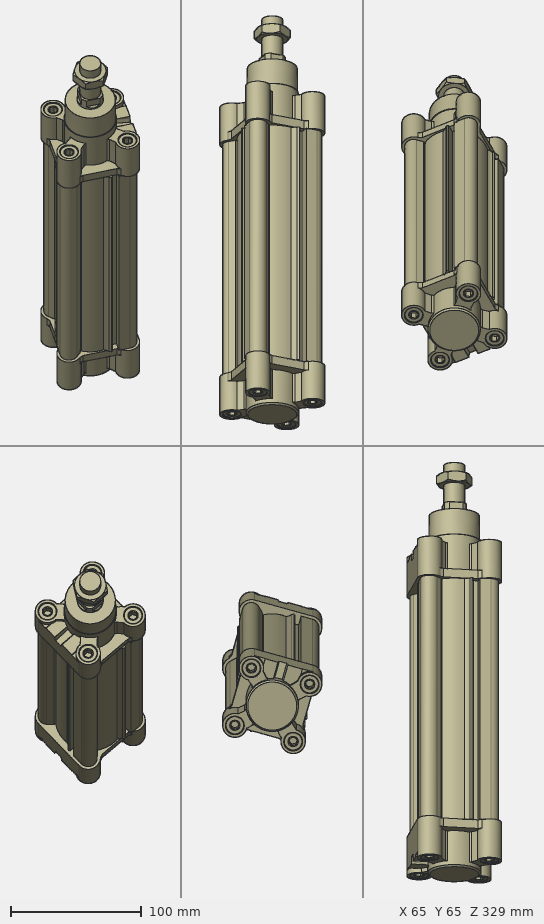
import cadquery as cq
import math


TOTAL_HEIGHT = 329.0
CAP_HEIGHT = 31.0
REAR_CAP_Z = 4.5
BARREL_Z = REAR_CAP_Z + CAP_HEIGHT
FRONT_CAP_Z = 260.5
BARREL_TOP_Z = FRONT_CAP_Z - CAP_HEIGHT
COLLAR_TOP_Z = 267.5
NOSE_TOP_Z = 288.2

OVERALL_WIDTH = 65.0
STUD_SPACING = 46.5
STUD_OFFSET = STUD_SPACING / 2
STUD_RADIUS = OVERALL_WIDTH / 2 - STUD_OFFSET
STUD_RECESS_DIAMETER = 14.5
STUD_RECESS_DEPTH = 0.5
STUD_RECESS_FLOOR_DIAMETER = 13.5
SOCKET_DIAMETER = 8.0
SOCKET_CORNERS = 7.0
SOCKET_FLATS = SOCKET_CORNERS * math.cos(math.pi / 6)
SOCKET_COUNTERSINK = 0.3
SOCKET_DEPTH = 6.5
FLANGE_THICKNESS = 7.0
FLANGE_HALF_WIDTH = 28.3
FLANGE_CORNER_START = 13.5
FLANGE_CORNER_END = 16.5
WEB_BEND = (10.2, 19.0)
WEB_ROOT = (8.2, 18.0)
HUB_DIAMETER = 40.0
HUB_CHAMFER = 1.3

PORT_BLOCK_WIDTH = 29.5
PORT_SHOULDER_DROP = 1.0
PORT_BLOCK_DROP = 3.3
PORT_BLOCK_HEIGHT = CAP_HEIGHT - PORT_BLOCK_DROP
PORT_GROOVE_TOP_WIDTH = 8.0
PORT_GROOVE_FLOOR_WIDTH = 6.0
PORT_GROOVE_X = 0.5
PORT_GROOVE_DEPTH = 3.3
PORT_GROOVE_FALL_ANGLE = 10.0

NOSE_BASE_DIAMETER = 39.0
NOSE_TOP_DIAMETER = 38.5

BARREL_HALF_WIDTH = 30.3
CORNER_RADIUS = 7.0
CORNER_CENTRE = BARREL_HALF_WIDTH - CORNER_RADIUS
GROOVE_START_X = 14.5
GROOVE_END_X = 13.5
GROOVE_FLOOR = 22.0
TUBE_RADIUS = 27.0
TUBE_END_X = 3.3
RIDGE_FOOT_X = 7.0
RIDGE_FOOT_Y = 29.3
RIDGE_TOP_X = 8.5
RIDGE_SAGITTA = 0.3
RIDGE_DROP = 0.5
SLOT_START_X = 9.5
SLOT_END_X = 14.5
SLOT_FLOOR = 23.0

ROD_DIAMETER = 20.0
ROD_BOTTOM_Z = BARREL_TOP_Z
ROD_FLATS = 17.0
FLATS_BOTTOM_Z = 291.0
THREAD_DIAMETER = 16.0
THREAD_LENGTH = 32.0
THREAD_BOTTOM_Z = TOTAL_HEIGHT - THREAD_LENGTH
NUT_BOTTOM_Z = 313.0
NUT_HEIGHT = 8.0
NUT_FLATS = 24.0
NUT_CORNERS = NUT_FLATS / math.cos(math.pi / 6)
NUT_FACE_DIAMETER = NUT_FLATS
NUT_CHAMFER_SLOPE = math.tan(math.radians(30))


def cylinder(diameter, bottom, top):
    """Upright cylinder on the Z axis."""
    return cq.Workplane("XY").workplane(offset=bottom).circle(diameter / 2).extrude(top - bottom)


def hexagon(corners, bottom, top):
    """Upright hexagonal prism on the Z axis with two flats facing X."""
    prism = cq.Workplane("XY").workplane(offset=bottom).polygon(6, corners).extrude(top - bottom)
    return prism.rotate((0, 0, 0), (0, 0, 1), 30)


def turned(profile):
    """Solid of revolution about Z from (radius, height) points."""
    return cq.Workplane("XZ").polyline(profile).close().revolve(360, (0, 0), (0, 1))


def quarter_turns(solid):
    """Union of a solid with its three copies turned about Z."""
    whole = solid
    for turn in (90, 180, 270):
        whole = whole.union(solid.rotate((0, 0, 0), (0, 0, 1), turn))
    return whole


def stud_with_web():
    """One corner stud, and the web that joins it to the hub."""
    stud = cq.Workplane("XY").center(STUD_OFFSET, STUD_OFFSET).circle(STUD_RADIUS).extrude(CAP_HEIGHT)
    side = STUD_OFFSET - STUD_RADIUS
    web = (
        cq.Workplane("XY")
        .polyline([
            (0, 0),
            WEB_ROOT,
            WEB_BEND,
            (side, STUD_OFFSET),
            (STUD_OFFSET, STUD_OFFSET),
            (STUD_OFFSET, side),
            WEB_BEND[::-1],
            WEB_ROOT[::-1],
        ])
        .close()
        .extrude(CAP_HEIGHT)
    )
    return stud.union(web)


def flange_side():
    """Flange segment on the +Y side, widening where it runs into the two studs."""
    drop = STUD_OFFSET - FLANGE_CORNER_END
    corner_y = STUD_OFFSET + math.sqrt(STUD_RADIUS**2 - drop**2)
    return (
        cq.Workplane("XY")
        .polyline([
            (0, 0),
            (STUD_OFFSET, STUD_OFFSET),
            (FLANGE_CORNER_END, corner_y),
            (FLANGE_CORNER_START, FLANGE_HALF_WIDTH),
            (-FLANGE_CORNER_START, FLANGE_HALF_WIDTH),
            (-FLANGE_CORNER_END, corner_y),
            (-STUD_OFFSET, STUD_OFFSET),
        ])
        .close()
        .extrude(FLANGE_THICKNESS)
    )


def port_block():
    """Block between the two +Y studs, with low shoulders and a groove whose floor falls outward."""
    outer_y = OVERALL_WIDTH / 2
    block = (
        cq.Workplane("XY")
        .polyline([
            (0, 0),
            (STUD_OFFSET, STUD_OFFSET),
            (STUD_OFFSET, outer_y),
            (-STUD_OFFSET, outer_y),
            (-STUD_OFFSET, STUD_OFFSET),
        ])
        .close()
        .extrude(PORT_BLOCK_HEIGHT)
    )
    shoulder_cutter = cq.Workplane("XY").box(STUD_SPACING, 2 * outer_y, 2 * PORT_SHOULDER_DROP)
    shoulder_x = (STUD_SPACING + PORT_BLOCK_WIDTH) / 2
    for x in (-shoulder_x, shoulder_x):
        block = block.cut(shoulder_cutter.translate((x, 0, PORT_BLOCK_HEIGHT)))
    half_top = PORT_GROOVE_TOP_WIDTH / 2
    half_floor = PORT_GROOVE_FLOOR_WIDTH / 2
    tip_start = (0, HUB_DIAMETER / 2, PORT_BLOCK_HEIGHT)
    tip_end = (1, HUB_DIAMETER / 2, PORT_BLOCK_HEIGHT)
    groove = (
        cq.Workplane("XZ")
        .polyline([
            (-half_top, PORT_BLOCK_HEIGHT),
            (-half_floor, PORT_BLOCK_HEIGHT - PORT_GROOVE_DEPTH),
            (half_floor, PORT_BLOCK_HEIGHT - PORT_GROOVE_DEPTH),
            (half_top, PORT_BLOCK_HEIGHT),
            (half_top, CAP_HEIGHT),
            (-half_top, CAP_HEIGHT),
        ])
        .close()
        .extrude(-2 * outer_y)
        .rotate(tip_start, tip_end, -PORT_GROOVE_FALL_ANGLE)
        .translate((PORT_GROOVE_X, 0, 0))
    )
    return block.cut(groove)


def socket_cutter():
    """Shallow tapered recess and countersunk hexagon socket, entering one stud from its outer end."""
    recess_floor = CAP_HEIGHT - STUD_RECESS_DEPTH
    mouth = turned([
        (0, CAP_HEIGHT),
        (STUD_RECESS_DIAMETER / 2, CAP_HEIGHT),
        (STUD_RECESS_FLOOR_DIAMETER / 2, recess_floor),
        (SOCKET_DIAMETER / 2, recess_floor),
        (SOCKET_FLATS / 2, recess_floor - SOCKET_COUNTERSINK),
        (0, recess_floor - SOCKET_COUNTERSINK),
    ])
    socket = hexagon(SOCKET_CORNERS, recess_floor - SOCKET_DEPTH, recess_floor)
    return mouth.union(socket)


def end_cap():
    """End cap without its round hub, with its inner face at Z = 0 and its outer face at Z = CAP_HEIGHT."""
    cap = quarter_turns(flange_side()).union(quarter_turns(stud_with_web()))
    cap = cap.union(port_block())
    cutter = socket_cutter()
    for x in (-STUD_OFFSET, STUD_OFFSET):
        for y in (-STUD_OFFSET, STUD_OFFSET):
            cap = cap.cut(cutter.translate((x, y, 0)))
    return cap


def corner_point(angle):
    """Point on the (-X, -Y) corner arc, at an angle in degrees from -Y toward +X."""
    turn = math.radians(angle)
    return (-CORNER_CENTRE + CORNER_RADIUS * math.sin(turn), -CORNER_CENTRE - CORNER_RADIUS * math.cos(turn))


def barrel():
    """Extruded tube: round corners, bulging walls and one sensor slot on each side."""
    corner_start = (-BARREL_HALF_WIDTH, -CORNER_CENTRE)
    corner_middle = corner_point(-45)
    corner_end = corner_point(45)
    flank_end = (-GROOVE_START_X, corner_end[1] - GROOVE_START_X - corner_end[0])
    tube_start = (-GROOVE_END_X, -math.sqrt(TUBE_RADIUS**2 - GROOVE_END_X**2))
    tube_end = (TUBE_END_X, -math.sqrt(TUBE_RADIUS**2 - TUBE_END_X**2))
    ridge_foot = (RIDGE_FOOT_X, -RIDGE_FOOT_Y)
    ridge_top = (RIDGE_TOP_X, -BARREL_HALF_WIDTH)
    side = (
        cq.Workplane("XY")
        .moveTo(*corner_start)
        .threePointArc(corner_middle, corner_end)
        .lineTo(*flank_end)
        .lineTo(-GROOVE_START_X, -GROOVE_FLOOR)
        .lineTo(-GROOVE_END_X, -GROOVE_FLOOR)
        .lineTo(*tube_start)
        .threePointArc((0, -TUBE_RADIUS), tube_end)
        .sagittaArc(ridge_foot, RIDGE_SAGITTA)
        .lineTo(*ridge_top)
        .lineTo(SLOT_START_X, -BARREL_HALF_WIDTH + RIDGE_DROP)
        .lineTo(SLOT_START_X, -SLOT_FLOOR)
        .lineTo(SLOT_END_X, -SLOT_FLOOR)
        .lineTo(SLOT_END_X, -BARREL_HALF_WIDTH)
        .lineTo(CORNER_CENTRE, -BARREL_HALF_WIDTH)
        .lineTo(CORNER_CENTRE, -CORNER_CENTRE)
        .lineTo(0, 0)
        .lineTo(-CORNER_CENTRE, -CORNER_CENTRE)
        .close()
        .extrude(BARREL_TOP_Z - BARREL_Z)
    )
    return quarter_turns(side).translate((0, 0, BARREL_Z))


def nose():
    """Collar and slightly tapered nose in front of the front cap."""
    return turned([
        (0, BARREL_TOP_Z),
        (HUB_DIAMETER / 2, BARREL_TOP_Z),
        (HUB_DIAMETER / 2, COLLAR_TOP_Z),
        (NOSE_BASE_DIAMETER / 2, COLLAR_TOP_Z),
        (NOSE_TOP_DIAMETER / 2, NOSE_TOP_Z),
        (0, NOSE_TOP_Z),
    ])


def make_housing():
    """Barrel, both end caps, rear spigot and nose as one solid, bored for the rod."""
    front_cap = end_cap().translate((0, 0, BARREL_TOP_Z))
    rear_cap = end_cap().mirror("XY").translate((0, 0, BARREL_Z))
    rear_spigot = cylinder(HUB_DIAMETER, 0, BARREL_Z).faces("<Z").chamfer(HUB_CHAMFER)
    housing = barrel().union(front_cap).union(rear_cap).union(rear_spigot).union(nose())
    return housing.cut(cylinder(ROD_DIAMETER, ROD_BOTTOM_Z, NOSE_TOP_Z))


def make_rod():
    """Rod with four wrench flats below its threaded end."""
    rod = cylinder(ROD_DIAMETER, ROD_BOTTOM_Z, THREAD_BOTTOM_Z)
    ramp = (ROD_DIAMETER - ROD_FLATS) / 2
    flat_cutter = (
        cq.Workplane("XZ")
        .polyline([
            (ROD_FLATS / 2, THREAD_BOTTOM_Z),
            (ROD_FLATS / 2, FLATS_BOTTOM_Z),
            (ROD_DIAMETER / 2, FLATS_BOTTOM_Z - ramp),
            (ROD_DIAMETER, FLATS_BOTTOM_Z - ramp),
            (ROD_DIAMETER, THREAD_BOTTOM_Z),
        ])
        .close()
        .extrude(ROD_DIAMETER, both=True)
    )
    for turn in (0, 90, 180, 270):
        rod = rod.cut(flat_cutter.rotate((0, 0, 0), (0, 0, 1), turn))
    return rod.union(cylinder(THREAD_DIAMETER, THREAD_BOTTOM_Z, TOTAL_HEIGHT))


def make_nut():
    """Hexagon nut with two flats facing X and conical chamfers on both faces."""
    top = NUT_BOTTOM_Z + NUT_HEIGHT
    drop = (NUT_CORNERS - NUT_FACE_DIAMETER) / 2 * NUT_CHAMFER_SLOPE
    chamfers = turned([
        (0, NUT_BOTTOM_Z),
        (NUT_FACE_DIAMETER / 2, NUT_BOTTOM_Z),
        (NUT_CORNERS / 2, NUT_BOTTOM_Z + drop),
        (NUT_CORNERS / 2, top - drop),
        (NUT_FACE_DIAMETER / 2, top),
        (0, top),
    ])
    blank = hexagon(NUT_CORNERS, NUT_BOTTOM_Z, top).intersect(chamfers)
    return blank.cut(cylinder(THREAD_DIAMETER, NUT_BOTTOM_Z, top))


housing = make_housing()
rod = make_rod()
nut = make_nut()

result = cq.Compound.makeCompound([housing.solids().val(), rod.solids().val(), nut.solids().val()])